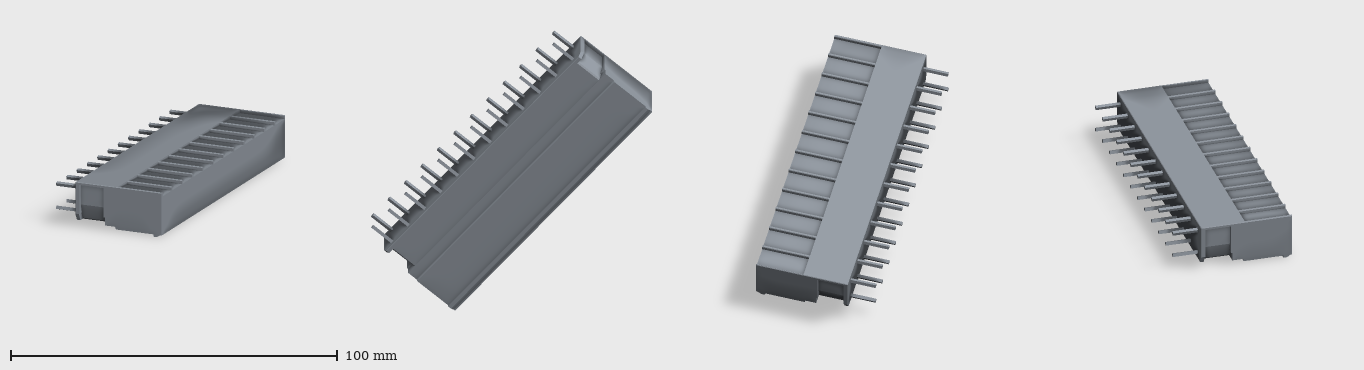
import cadquery as cq

length = 91.4
poles = 12
pitch = length / poles
overall_x = 37.0

flange_x = 8.0
base_z = -12.4
base_end_x = 17.9
shoulder_z = -12.7
shoulder_end_x = 21.3
heel_z = -13.5
heel_step_x = 21.6
ridge_z = -14.3
ridge_x = 34.2
ridge_flat = 1.2
ridge_run_out = 1.1

edge_break = 0.2

pin_width = 1.0
upper_pin_z = -2.6
lower_pin_z = -10.15
pin_twist = 20.0

deck_x = 22.0
deck_depth = 1.2
rib_width = 0.8
rib_below_boundary = 0.4
front_rib_width = 0.8
back_rib_width = 0.5

pocket_x = 9.3
pocket_end_x = 17.5
pocket_top_z = -0.8
pocket_depth = 1.0
pocket_slope_z = -7.3
pocket_slope_depth = 2.65
pocket_slope_end_z = -12.0
pocket_mouth_depth = 3.1
flare_z = -10.15
flare_x = 9.1
corner_height = 2.3
corner_width = 1.2


def yz_prism(points, start, end):
    """Extrude a YZ outline between two X positions."""
    return cq.Workplane("YZ", origin=(start, 0, 0)).polyline(points).close().extrude(end - start)


def make_body():
    ridge_end_x = ridge_x + ridge_flat
    outline = [
        (flange_x, 0),
        (overall_x, 0),
        (overall_x, heel_z),
        (ridge_end_x + ridge_run_out, heel_z),
        (ridge_end_x, ridge_z),
        (ridge_x, ridge_z),
        (ridge_x, heel_z),
        (heel_step_x, heel_z),
        (shoulder_end_x, shoulder_z),
        (base_end_x, shoulder_z),
        (base_end_x, base_z),
        (flange_x, base_z),
    ]
    body = cq.Workplane("XZ", origin=(0, -length / 2, 0)).polyline(outline).close().extrude(-length)
    body = body.faces("<X").edges().chamfer(edge_break)
    return body.edges("(|X and >Z) or (|Z and >X)").chamfer(edge_break)


def make_decks():
    """Cutters that leave a rib at each pole boundary and at both ends."""
    decks = cq.Workplane("XY")
    for pole in range(poles):
        start = -length / 2 + pole * pitch
        end = start + pitch
        start += front_rib_width if pole == 0 else rib_width - rib_below_boundary
        end -= back_rib_width if pole == poles - 1 else rib_below_boundary
        section = [
            (start, -deck_depth),
            (end, -deck_depth),
            (end, -edge_break),
            (end + edge_break, 0),
            (start - edge_break, 0),
            (start, -edge_break),
        ]
        decks = decks.union(yz_prism(section, deck_x, overall_x))
    return decks


def make_end_pocket():
    """Cutter for the -Y end."""
    face = -length / 2
    floor = face + pocket_depth
    section = [
        (face, pocket_top_z),
        (floor, pocket_top_z),
        (floor, pocket_slope_z),
        (face + pocket_slope_depth, pocket_slope_end_z),
        (face + pocket_mouth_depth, base_z),
        (face, base_z),
    ]
    pocket = yz_prism(section, pocket_x, pocket_end_x)
    wide = yz_prism(section, flare_x, base_end_x)
    lower = cq.Workplane("XY").box(overall_x, length, flare_z - base_z, centered=False)
    wide = wide.intersect(lower.translate((0, face, base_z)))
    corner = [
        (face, base_z),
        (face + corner_width, base_z),
        (face, base_z + corner_height),
    ]
    return pocket.union(wide).union(yz_prism(corner, flange_x, pocket_x))


def make_pin_row(z, twist):
    """Pins rooted inside the flange, one per pole."""
    row = cq.Workplane("YZ")
    for pole in range(poles):
        y = -length / 2 + (pole + 0.5) * pitch
        pin = cq.Workplane("YZ").rect(pin_width, pin_width).extrude(pocket_x)
        row = row.union(pin.rotate((0, 0, 0), (1, 0, 0), twist).translate((0, y, z)))
    return row


end_pocket = make_end_pocket()
result = make_body().cut(make_decks())
result = result.cut(end_pocket).cut(end_pocket.mirror("XZ"))
result = result.union(make_pin_row(upper_pin_z, pin_twist))
result = result.union(make_pin_row(lower_pin_z, -pin_twist))